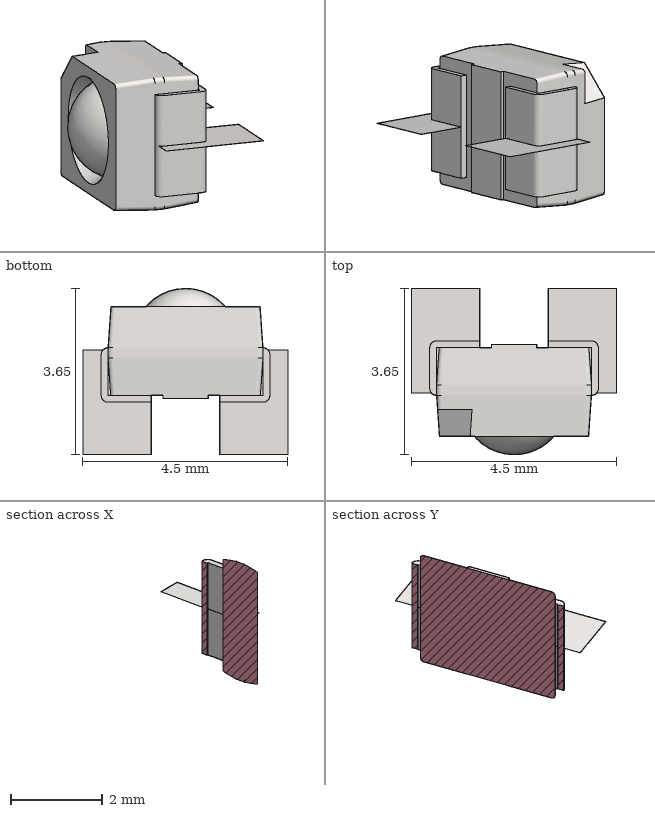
import cadquery as cq
import math


BELT_WIDTH = 3.4
BELT_HEIGHT = 3.0
BELT_FRONT = 0.9
BELT_BACK = 1.125
HOUSING_BACK = 1.95
TAB_BACK = 2.02
TAB_WIDTH = 1.0
DRAFT_ANGLE = 4.0
CORNER_RADIUS = 0.1

NOTCH_LEG = 0.8
NOTCH_DEPTH = 0.595

RECESS_MOUTH_RADIUS = 1.195
LENS_RIM_RADIUS = 1.05
LENS_PROTRUSION = 0.4
LENS_SPHERE_RADIUS = 1.15
LENS_HEIGHT = LENS_SPHERE_RADIUS - math.sqrt(LENS_SPHERE_RADIUS**2 - LENS_RIM_RADIUS**2)
RECESS_DEPTH = LENS_HEIGHT - LENS_PROTRUSION

LEAD_THICKNESS = 0.15
LEAD_HEIGHT = 2.3
LEAD_INNER_X = BELT_WIDTH / 2
LEAD_OUTER_X = LEAD_INNER_X + LEAD_THICKNESS
LEAD_BACK = HOUSING_BACK + LEAD_THICKNESS

PAD_SPAN = 4.5
PAD_WIDTH = PAD_SPAN / 3
PAD_LENGTH = 2.3
PAD_THICKNESS = 0.001
PAD_BACK = 3.25
PAD_INNER_X = PAD_SPAN / 2 - PAD_WIDTH


def plane_at(y, direction):
    """Plane at the given Y, with its normal along +Y (1) or -Y (-1)."""
    return cq.Plane(origin=(0, y, 0), xDir=(1, 0, 0), normal=(0, direction, 0))


def belt_section(y, direction):
    return cq.Workplane(plane_at(y, direction)).rect(BELT_WIDTH, BELT_HEIGHT)


def rounded_section(y, direction, depth, draft):
    """One stretch of the housing, with its four long corners rounded."""
    block = belt_section(y, direction).extrude(depth, taper=draft)
    long_edges = block.edges("not #Y")
    return long_edges.fillet(CORNER_RADIUS)


def make_moulding():
    belt = rounded_section(BELT_FRONT, 1, BELT_BACK - BELT_FRONT, 0)
    front_half = rounded_section(BELT_FRONT, -1, BELT_FRONT, DRAFT_ANGLE)
    back_half = rounded_section(BELT_BACK, 1, TAB_BACK - BELT_BACK, DRAFT_ANGLE)
    moulding = belt.union(front_half).union(back_half)

    step_width = (BELT_WIDTH - TAB_WIDTH) / 2
    step_x = (BELT_WIDTH + TAB_WIDTH) / 4
    steps = (
        cq.Workplane(plane_at(HOUSING_BACK, 1))
        .pushPoints([(-step_x, 0), (step_x, 0)])
        .rect(step_width, BELT_HEIGHT)
        .extrude(TAB_BACK - HOUSING_BACK)
    )
    return moulding.cut(steps)


def make_notch():
    left = -BELT_WIDTH / 2
    top = BELT_HEIGHT / 2
    return (
        cq.Workplane("XZ")
        .polyline([(left, top), (left + NOTCH_LEG, top), (left, top - NOTCH_LEG)])
        .close()
        .extrude(-NOTCH_DEPTH)
    )


def make_recess():
    """Truncated cone narrowing from the front face to the lens rim."""
    return cq.Solid.makeCone(
        RECESS_MOUTH_RADIUS, LENS_RIM_RADIUS, RECESS_DEPTH,
        pnt=cq.Vector(0, 0, 0), dir=cq.Vector(0, 1, 0),
    )


def make_lead(side):
    """Bent lead with its pad; side is -1 for the left and 1 for the right."""
    lead = (
        cq.Workplane("XY")
        .workplane(offset=-LEAD_HEIGHT / 2)
        .moveTo(side * LEAD_INNER_X, BELT_FRONT)
        .radiusArc((side * LEAD_OUTER_X, BELT_FRONT + LEAD_THICKNESS), -side * LEAD_THICKNESS)
        .lineTo(side * LEAD_OUTER_X, HOUSING_BACK)
        .radiusArc((side * LEAD_INNER_X, LEAD_BACK), -side * LEAD_THICKNESS)
        .lineTo(side * PAD_INNER_X, LEAD_BACK)
        .lineTo(side * PAD_INNER_X, HOUSING_BACK)
        .lineTo(side * LEAD_INNER_X, HOUSING_BACK)
        .close()
        .extrude(LEAD_HEIGHT)
    )
    pad = cq.Workplane("XY").box(PAD_WIDTH, PAD_LENGTH, PAD_THICKNESS).translate(
        (side * (PAD_INNER_X + PAD_WIDTH / 2), PAD_BACK - PAD_LENGTH / 2, 0)
    )
    return lead.union(pad)


def make_housing():
    """Moulding with its two leads as one solid."""
    housing = make_moulding().cut(make_notch()).cut(cq.Workplane(make_recess()))
    for side in (-1, 1):
        housing = housing.union(make_lead(side))
    return housing


def make_lens():
    """Spherical cap with its flat side on the recess floor."""
    apex_y = -LENS_PROTRUSION
    mid_y = apex_y + LENS_HEIGHT / 2
    mid_radius = math.sqrt(LENS_SPHERE_RADIUS**2 - (LENS_SPHERE_RADIUS - LENS_HEIGHT / 2) ** 2)
    return (
        cq.Workplane("XY")
        .moveTo(0, apex_y)
        .threePointArc((mid_radius, mid_y), (LENS_RIM_RADIUS, RECESS_DEPTH))
        .lineTo(0, RECESS_DEPTH)
        .close()
        .revolve(360, (0, 0, 0), (0, 1, 0))
    )


housing = make_housing()
lens = make_lens()
result = cq.Compound.makeCompound([housing.solids().val(), lens.solids().val()])